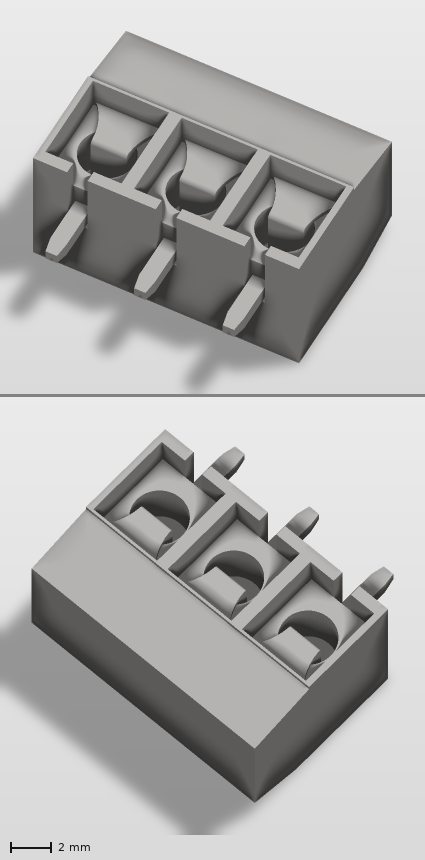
import cadquery as cq


width = 15.01
depth = 9.9
height = 7.63
top_slope_start = 5.87
top_step = 0.23
back_top_drop = 0.9
base_slope_start = 6.83
back_base_rise = 0.77

pitch = 5.0
terminal_count = 3

front_wall = 0.65
mouth_width = 4.3
mouth_back = 5.72
well_width = 4.15
well_back = 5.63
mouth_depth = 1.02
floor_z = 5.84

hole_diameter = 3.03
hole_y = 3.18
hole_bottom_z = 3.0

tongue_top_z = 6.11
tongue_tip_y = 3.32
tongue_tip_width = 2.01
tongue_root_width = 3.81
tongue_tip_radius = 0.25

slot_width = 1.15
slot_bottom_z = 3.77

pin_width = 0.92
pin_height = 0.81
pin_bottom_z = 3.86
pin_length = 2.79
tip_length = 0.78
tip_width = 0.65
tip_height = 0.57


def box(x_size, y_min, y_max, z_min, z_max):
    """Block centred on x = 0 between the given y and z limits."""
    return cq.Workplane("XY", origin=(0, y_min, z_min)).box(
        x_size, y_max - y_min, z_max - z_min, centered=(True, False, False)
    )


def make_housing():
    profile = [
        (0, 0),
        (base_slope_start, 0),
        (depth, back_base_rise),
        (depth, height - back_top_drop),
        (top_slope_start, height - top_step),
        (top_slope_start, height),
        (0, height),
    ]
    return cq.Workplane("YZ").polyline(profile).close().extrude(width / 2, both=True)


def make_pocket():
    mouth_z = height - mouth_depth
    well_length = well_back - front_wall
    mouth_length = mouth_back - front_wall
    mouth = (
        cq.Workplane("XY", origin=(0, front_wall + well_length / 2, mouth_z))
        .rect(well_width, well_length)
        .workplane(offset=mouth_depth)
        .center(0, (mouth_length - well_length) / 2)
        .rect(mouth_width, mouth_length)
        .loft(ruled=True)
    )
    well = box(well_width, front_wall, well_back, floor_z, mouth_z)
    hole = (
        cq.Workplane("XY", origin=(0, hole_y, hole_bottom_z))
        .circle(hole_diameter / 2)
        .extrude(floor_z - hole_bottom_z)
    )
    slot = box(slot_width, 0, front_wall, slot_bottom_z, height)
    return mouth.union(well).union(hole).union(slot)


def make_tongue():
    tip_x = tongue_tip_width / 2
    root_x = tongue_root_width / 2
    flare = root_x - tip_x
    reach = well_back - tongue_tip_y
    flank_radius = (flare**2 + reach**2) / (2 * flare)
    return (
        cq.Workplane("XY", origin=(0, 0, hole_bottom_z))
        .moveTo(-tip_x, tongue_tip_y)
        .lineTo(tip_x, tongue_tip_y)
        .radiusArc((root_x, well_back), flank_radius)
        .lineTo(-root_x, well_back)
        .radiusArc((-tip_x, tongue_tip_y), flank_radius)
        .close()
        .extrude(tongue_top_z - hole_bottom_z)
        .faces("<Y")
        .edges(">Z")
        .fillet(tongue_tip_radius)
    )


def make_pin():
    shank_end = tip_length - pin_length
    shank = box(pin_width, shank_end, front_wall, pin_bottom_z, pin_bottom_z + pin_height)
    tip = (
        cq.Workplane("XZ", origin=(0, shank_end, pin_bottom_z + pin_height / 2))
        .rect(pin_width, pin_height)
        .workplane(offset=tip_length)
        .rect(tip_width, tip_height)
        .loft(ruled=True)
    )
    return shank.union(tip)


pocket = make_pocket()
contact = make_tongue().union(make_pin())
result = make_housing()
for index in range(terminal_count):
    terminal_x = (index - (terminal_count - 1) / 2) * pitch
    result = result.cut(pocket.translate((terminal_x, 0, 0)))
    result = result.union(contact.translate((terminal_x, 0, 0)))